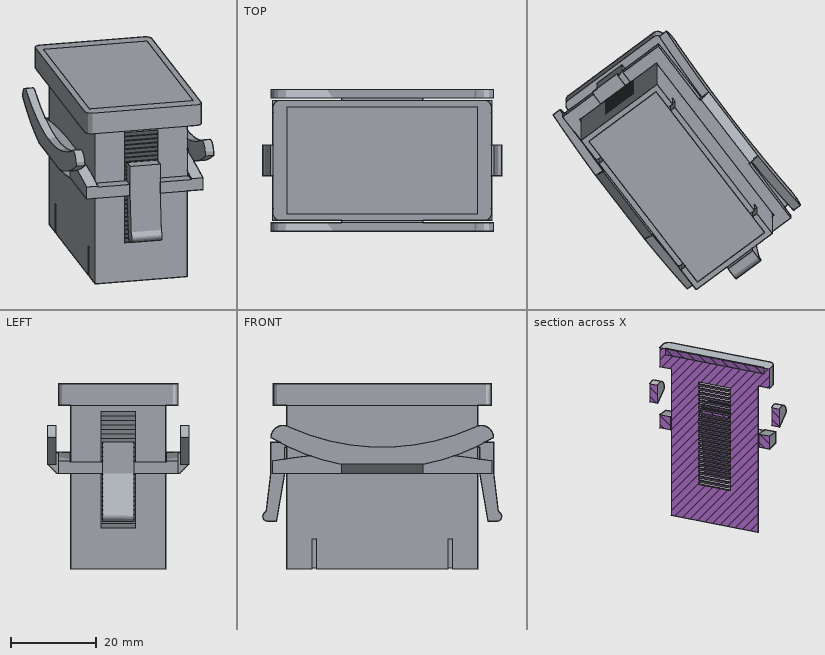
import cadquery as cq
import math


OUTER_X, OUTER_Y = 55.66, 33.02
NOTCH_CLEARANCE = 1.0

CASE_X, CASE_Y = 44.5, 22.15
BEZEL_X, BEZEL_Y = 50.8, 27.94
BEZEL_HEIGHT = 5.08
BEZEL_RADIUS = 1.57
TOTAL_HEIGHT = 43.18
BEZEL_Z = TOTAL_HEIGHT - BEZEL_HEIGHT
WALL = 1.27

SLOT_X = 15.83
SLOT_WIDTH = 0.95
SLOT_HEIGHT = 7.03

RACK_WIDTH = 8.0
RACK_Z = 9.56
TOOTH_PITCH = 1.042
TOOTH_COUNT = 26
TOOTH_DEPTH = 0.52

WINDOW_X, WINDOW_Y = 44.4, 24.9
WINDOW_THICKNESS = 1.5

COVER_X, COVER_Y = CASE_X - 2 * WALL, CASE_Y - 2 * WALL
COVER_RECESS = 0.2

FRAME_X, FRAME_Y = 51.2, BEZEL_Y
FRAME_Z = 22.24
FRAME_INNER_X, FRAME_INNER_Y = 45.4, 22.4
END_BAR_TOP = 24.97
RAIL_END_TOP = 25.2
RAIL_MID_TOP = 27.3

SPRING_OUTER_Y = OUTER_Y / 2
SPRING_THICKNESS = 2.03
SPRING_MID_TOP = 28.37
SPRING_TOP_RADIUS = 52.2
SPRING_MID_BOTTOM = 23.5
SPRING_BOTTOM_RADIUS = 50.8
SPRING_SHOULDER_X = 21.5
SPRING_TIP_X = 25.95
SPRING_CROWN = (23.7, 33.4)
BRIDGE_X = 18.95
BRIDGE_CHAMFER = 2.25

ARM_WIDTH = 7.24
ARM_INNER_X = FRAME_INNER_X / 2
ARM_OUTER_X = 26.0
ARM_TOP = 29.54
PAWL_STEP = 18
FOOT_Z = 11.12
FOOT_INNER_X = 24.6
FOOT_OUTER_X = OUTER_X / 2
TOE_RADIUS = 1.14
TOE_ANGLE = math.radians(45)
NECK = (27.0, 13.88)


def box(size_x, size_y, bottom, top):
    """Box centred on the Z axis between two heights."""
    return cq.Workplane("XY").workplane(offset=bottom).rect(size_x, size_y).extrude(top - bottom)


def across_y(profile, width):
    """Extrude an XZ profile over a width centred on Y = 0."""
    return profile.extrude(width / 2, both=True)


def with_mirror(shape, plane):
    """A shape joined to its mirror image."""
    return shape.union(shape.mirror(plane))


def tooth_notches(first, count, width):
    """Sawtooth notches of the +X rack: flat floors, roofs sloping out to the case wall."""
    face = CASE_X / 2
    bottom = RACK_Z + first * TOOTH_PITCH
    profile = cq.Workplane("XZ").moveTo(face, bottom)
    for tooth in range(count):
        floor = bottom + tooth * TOOTH_PITCH
        profile = profile.lineTo(face - TOOTH_DEPTH, floor).lineTo(face, floor + TOOTH_PITCH)
    top = bottom + count * TOOTH_PITCH
    profile = profile.lineTo(face + NOTCH_CLEARANCE, top).lineTo(face + NOTCH_CLEARANCE, bottom).close()
    return across_y(profile, width)


def make_case():
    bezel = box(BEZEL_X, BEZEL_Y, BEZEL_Z, TOTAL_HEIGHT).edges("|Z").fillet(BEZEL_RADIUS)
    case = box(CASE_X, CASE_Y, 0, BEZEL_Z).union(bezel)
    case = case.cut(box(WINDOW_X, WINDOW_Y, TOTAL_HEIGHT - WINDOW_THICKNESS, TOTAL_HEIGHT))
    case = case.cut(box(COVER_X, COVER_Y, 0, SLOT_HEIGHT))
    for x in (-SLOT_X, SLOT_X):
        case = case.cut(box(SLOT_WIDTH, CASE_Y, 0, SLOT_HEIGHT).translate((x, 0, 0)))
    return case.cut(with_mirror(tooth_notches(0, TOOTH_COUNT, RACK_WIDTH), "YZ"))


def make_window():
    return box(WINDOW_X, WINDOW_Y, TOTAL_HEIGHT - WINDOW_THICKNESS, TOTAL_HEIGHT)


def make_rear_cover():
    return box(COVER_X, COVER_Y, COVER_RECESS, SLOT_HEIGHT)


def arched_bar(width):
    """Solid bar along X with the arched top of the frame rails."""
    profile = (
        cq.Workplane("XZ")
        .moveTo(-FRAME_X / 2, FRAME_Z)
        .lineTo(-FRAME_X / 2, RAIL_END_TOP)
        .threePointArc((0, RAIL_MID_TOP), (FRAME_X / 2, RAIL_END_TOP))
        .lineTo(FRAME_X / 2, FRAME_Z)
        .close()
    )
    return across_y(profile, width)


def make_frame():
    """Ring around the case: arched rails along X, lower flat bars across the ends."""
    frame = arched_bar(FRAME_Y)
    frame = frame.cut(box(FRAME_X, FRAME_INNER_Y, END_BAR_TOP, RAIL_MID_TOP))
    return frame.cut(box(FRAME_INNER_X, FRAME_INNER_Y, FRAME_Z, END_BAR_TOP))


def bow_height(x, middle, radius):
    """Height at x of a sagging arc that is lowest on the Z axis."""
    return middle + radius - math.sqrt(radius**2 - x**2)


def make_spring():
    """Bowed spring at +Y, with the bridge that joins it to the rail."""
    shoulder_z = bow_height(SPRING_SHOULDER_X, SPRING_MID_TOP, SPRING_TOP_RADIUS)
    tip_z = bow_height(SPRING_TIP_X, SPRING_MID_BOTTOM, SPRING_BOTTOM_RADIUS)
    crown_x, crown_z = SPRING_CROWN
    bow = (
        cq.Workplane("XZ", origin=(0, SPRING_OUTER_Y, 0))
        .moveTo(-SPRING_SHOULDER_X, shoulder_z)
        .threePointArc((0, SPRING_MID_TOP), (SPRING_SHOULDER_X, shoulder_z))
        .threePointArc((crown_x, crown_z), (SPRING_TIP_X, tip_z))
        .threePointArc((0, SPRING_MID_BOTTOM), (-SPRING_TIP_X, tip_z))
        .threePointArc((-crown_x, crown_z), (-SPRING_SHOULDER_X, shoulder_z))
        .close()
        .extrude(SPRING_THICKNESS)
    )
    bridge_y = SPRING_OUTER_Y - FRAME_Y / 2
    bridge_space = box(BRIDGE_X, bridge_y, FRAME_Z, RAIL_MID_TOP)
    bridge_space = bridge_space.translate((0, FRAME_Y / 2 + bridge_y / 2, 0))
    bridge = arched_bar(2 * SPRING_OUTER_Y).intersect(bridge_space)
    chamfer = (
        cq.Workplane("YZ")
        .moveTo(SPRING_OUTER_Y, FRAME_Z)
        .lineTo(SPRING_OUTER_Y - BRIDGE_CHAMFER, FRAME_Z)
        .lineTo(SPRING_OUTER_Y, FRAME_Z + BRIDGE_CHAMFER)
        .close()
        .extrude(BRIDGE_X / 2, both=True)
    )
    return bow.union(bridge).cut(chamfer)


def make_arm():
    """Release arm at +X, with a pawl that fills one notch of the rack."""
    toe_x = FOOT_OUTER_X - TOE_RADIUS
    toe_z = FOOT_Z + TOE_RADIUS
    toe_top = (toe_x + TOE_RADIUS * math.cos(TOE_ANGLE), toe_z + TOE_RADIUS * math.sin(TOE_ANGLE))
    profile = (
        cq.Workplane("XZ")
        .moveTo(ARM_INNER_X, ARM_TOP)
        .lineTo(ARM_OUTER_X, ARM_TOP)
        .lineTo(ARM_OUTER_X, FRAME_Z)
        .lineTo(*NECK)
        .tangentArcPoint(toe_top, relative=False)
        .radiusArc((FOOT_OUTER_X, toe_z), TOE_RADIUS)
        .radiusArc((toe_x, FOOT_Z), TOE_RADIUS)
        .lineTo(FOOT_INNER_X, FOOT_Z)
        .lineTo(ARM_INNER_X, FRAME_Z)
        .close()
    )
    pawl = tooth_notches(PAWL_STEP, 1, ARM_WIDTH)
    return across_y(profile, ARM_WIDTH).union(pawl)


def make_panel_latch():
    latch = make_frame()
    latch = latch.union(with_mirror(make_spring(), "XZ"))
    return latch.union(with_mirror(make_arm(), "YZ"))


case = make_case()
window = make_window()
rear_cover = make_rear_cover()
panel_latch = make_panel_latch()

result = cq.Compound.makeCompound(
    [case.val(), window.val(), rear_cover.val(), panel_latch.val()]
)